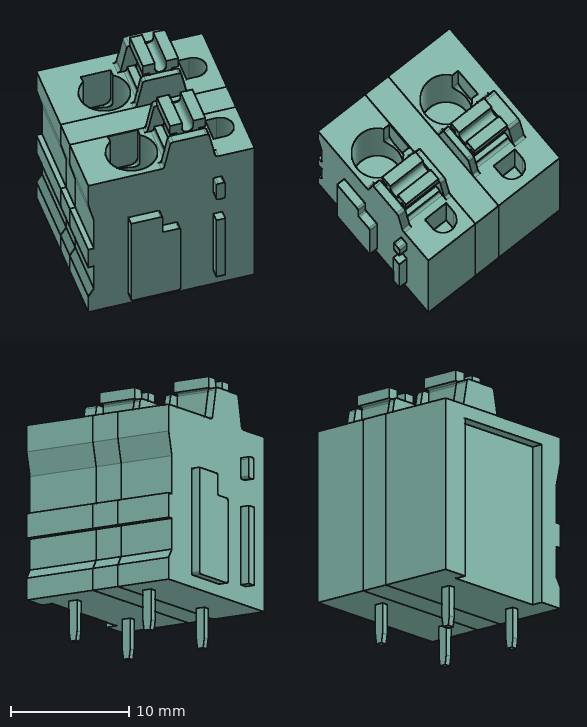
import cadquery as cq


pole_pitch = 7.5
pole_count = 2

block_width = 14.4
block_depth = 14.8
block_height = 15.2
left_housing_end = 6.73
right_housing_start = 9.26

relief_depth = 0.5
relief_slope_top_z = 12.9
relief_top_z = 10.85
rib_top_z = 7.52
rib_bottom_z = 5.38
relief_bottom_z = 2.7
relief_slope_bottom_z = 1.9

recess_depth = 1.05
recess_front_y = 2.4
recess_back_y = 12.3
recess_top_z = 14.0

button_slot_start = 2.32
button_slot_width = 3.8
flank_thickness = 1.2
flank_center_y = 9.03
flank_height = 2.91
flank_base_half_depth = 2.3
flank_top_half_depth = 1.7
flank_fillet = 0.3

collar_height = 0.46
collar_half_depth = 1.7
opening_depth_y = 2.15
opening_below_top = 2.0

button_center_x = button_slot_start + button_slot_width / 2
button_center_y = 9.12
button_width = 3.58
button_rise = 4.0
button_head_height = 1.0
button_head_depth_y = 3.15
button_stem_depth_y = 1.95
button_groove_width = 1.0
button_groove_depth = 1.12
button_neck_fillet = 0.15

wire_hole_x = button_center_x
wire_hole_y = 4.7
wire_hole_diameter = 4.4
wire_hole_depth = 8.0
wire_slot_start_x = 1.83
wire_slot_width_y = 2.64
wire_slot_depth = 4.0
wire_slot_fillet = 0.7

test_hole_x = 3.66
test_hole_front_y = 11.8
test_hole_radius = 1.16
test_hole_straight = 0.97
test_hole_depth = 5.0

pin_x = 3.2
pin_rows_y = (2.62, 10.82)
pin_width = 0.83
pin_tip_width = 0.6
pin_thickness = 0.62
pin_length = 3.5
pin_taper_length = 0.85

key_height = 0.8
key_fillet = 0.2
peg_front_y = 11.12
peg_back_y = 11.92
peg_bottom_z = 10.85
peg_top_z = 12.72
rail_height = 0.83
rail_bottom_z = 1.65
rail_top_z = 8.43
step_key_front_y = 3.55
step_key_riser_y = 6.37
step_key_back_y = 7.95
step_key_bottom_z = 1.06
step_key_foot_z = rail_top_z
step_key_top_z = 10.3
step_key_inner_fillet = 0.12

selection_margin = 0.01


def box(x_range, y_range, z_range):
    """Box spanning the given (start, end) ranges."""
    spans = [end - start for start, end in (x_range, y_range, z_range)]
    corner = (x_range[0], y_range[0], z_range[0])
    return cq.Workplane("XY").box(*spans, centered=False).translate(corner)


def side_profile(points, start_x, end_x):
    """Extrude a closed (Y, Z) outline along X."""
    outline = cq.Workplane("YZ", origin=(start_x, 0, 0)).polyline(points).close()
    return outline.extrude(end_x - start_x)


def edges_at_corner_pair(center_y, half_span, z):
    """Selector for the edges at height z, no further than half_span from center_y."""
    reach_y = half_span + selection_margin
    return cq.selectors.BoxSelector(
        (0, center_y - reach_y, z - selection_margin),
        (block_width, center_y + reach_y, z + selection_margin),
    )


def block_segment(start_x, end_x):
    """Slice of the block with the relieved front face and its rib."""
    return side_profile(
        [
            (0, 0),
            (block_depth, 0),
            (block_depth, block_height),
            (0, block_height),
            (0, relief_slope_top_z),
            (relief_depth, relief_top_z),
            (relief_depth, rib_top_z),
            (0, rib_top_z),
            (0, rib_bottom_z),
            (relief_depth, rib_bottom_z),
            (relief_depth, relief_bottom_z),
            (0, relief_slope_bottom_z),
        ],
        start_x,
        end_x,
    )


def raised_profile(base_half, top_half, height, start_x, end_x):
    """Upstand on a thin foot plate, with fillets where it meets the foot."""
    foot_half = base_half + 2 * flank_fillet
    foot_z = block_height - flank_fillet
    top_z = block_height + height
    upstand = side_profile(
        [
            (flank_center_y - foot_half, foot_z),
            (flank_center_y + foot_half, foot_z),
            (flank_center_y + foot_half, block_height),
            (flank_center_y + base_half, block_height),
            (flank_center_y + top_half, top_z),
            (flank_center_y - top_half, top_z),
            (flank_center_y - base_half, block_height),
            (flank_center_y - foot_half, block_height),
        ],
        start_x,
        end_x,
    )
    foot_corners = edges_at_corner_pair(flank_center_y, base_half, block_height)
    return upstand.edges("|X").edges(foot_corners).fillet(flank_fillet)


def flank(start_x, end_x):
    """Tapered guard wall with rounded top edges."""
    wall = raised_profile(flank_base_half_depth, flank_top_half_depth, flank_height, start_x, end_x)
    return wall.faces(">Z").edges("|X").fillet(flank_fillet)


def button_opening(pole_x):
    """Blind opening that takes the stem of the push button."""
    start_x = pole_x + button_slot_start
    half_depth = opening_depth_y / 2
    return box(
        (start_x, start_x + button_slot_width),
        (button_center_y - half_depth, button_center_y + half_depth),
        (block_height - opening_below_top, block_height + collar_height),
    )


def wire_entry(pole_x):
    """Round wire hole joined with its side slot."""
    hole = (
        cq.Workplane("XY", origin=(pole_x + wire_hole_x, wire_hole_y, block_height))
        .circle(wire_hole_diameter / 2)
        .extrude(-wire_hole_depth)
    )
    slot = box(
        (pole_x + wire_slot_start_x, pole_x + wire_hole_x),
        (wire_hole_y - wire_slot_width_y / 2, wire_hole_y + wire_slot_width_y / 2),
        (block_height - wire_slot_depth, block_height),
    )
    return hole.union(slot.faces("<Z").edges("|X").fillet(wire_slot_fillet))


def test_opening(pole_x):
    """D-shaped opening with its round side towards the back."""
    return (
        cq.Workplane("XY", origin=(pole_x + test_hole_x, test_hole_front_y, block_height))
        .moveTo(-test_hole_radius, 0)
        .lineTo(test_hole_radius, 0)
        .lineTo(test_hole_radius, test_hole_straight)
        .threePointArc(
            (0, test_hole_straight + test_hole_radius),
            (-test_hole_radius, test_hole_straight),
        )
        .close()
        .extrude(-test_hole_depth)
    )


def pole_housing(pole_x, start_x, end_x):
    """Housing of one pole; the flanks are cut short at the housing ends."""
    slot_start = pole_x + button_slot_start
    slot_end = slot_start + button_slot_width
    flank_start = max(start_x, slot_start - flank_thickness)
    flank_end = min(end_x, slot_end + flank_thickness)
    return (
        block_segment(start_x, end_x)
        .union(flank(flank_start, slot_start))
        .union(flank(slot_end, flank_end))
        .union(raised_profile(collar_half_depth, collar_half_depth, collar_height, slot_start, slot_end))
        .cut(button_opening(pole_x))
        .cut(wire_entry(pole_x))
        .cut(test_opening(pole_x))
    )


def end_recess():
    """Recess in the left end face, open at the underside."""
    return box((0, recess_depth), (recess_front_y, recess_back_y), (0, recess_top_z))


def coding_keys():
    """Rounded peg, vertical rail and stepped key on the right end face."""
    key_span = (block_width, block_width + key_height)
    peg = box(key_span, (peg_front_y, peg_back_y), (peg_bottom_z, peg_top_z))
    peg = peg.edges("|X").fillet(key_fillet)
    rail = box(
        (block_width, block_width + rail_height),
        (peg_front_y, peg_back_y),
        (rail_bottom_z, rail_top_z),
    )
    step_key = side_profile(
        [
            (step_key_front_y, step_key_bottom_z),
            (step_key_back_y, step_key_bottom_z),
            (step_key_back_y, step_key_foot_z),
            (step_key_riser_y, step_key_foot_z),
            (step_key_riser_y, step_key_top_z),
            (step_key_front_y, step_key_top_z),
        ],
        *key_span,
    )
    step_key = step_key.faces("<Z or >Y").edges("|X").fillet(key_fillet)
    step_key = step_key.faces(">Z").edges("|X and >Y").fillet(key_fillet)
    inner_corner = cq.selectors.NearestToPointSelector(
        (block_width + key_height / 2, step_key_riser_y, step_key_foot_z)
    )
    step_key = step_key.edges("|X").edges(inner_corner).fillet(step_key_inner_fillet)
    return [peg, rail, step_key]


def push_button(pole_x):
    """T-shaped push button with a round-bottomed groove across its head."""
    start_x = pole_x + button_center_x - button_width / 2
    x_range = (start_x, start_x + button_width)
    top_z = block_height + button_rise
    head_bottom_z = top_z - button_head_height
    stem_bottom_z = block_height - opening_below_top
    stem_half = button_stem_depth_y / 2
    head_half = button_head_depth_y / 2
    stem = box(
        x_range,
        (button_center_y - stem_half, button_center_y + stem_half),
        (stem_bottom_z, head_bottom_z),
    )
    head = box(
        x_range,
        (button_center_y - head_half, button_center_y + head_half),
        (head_bottom_z, top_z),
    )
    neck_corners = edges_at_corner_pair(button_center_y, stem_half, head_bottom_z)
    groove_half = button_groove_width / 2
    groove_center_z = top_z - button_groove_depth + groove_half
    groove = box(
        x_range,
        (button_center_y - groove_half, button_center_y + groove_half),
        (groove_center_z, top_z),
    )
    groove_bottom = (
        cq.Workplane("YZ", origin=(start_x, button_center_y, groove_center_z))
        .circle(groove_half)
        .extrude(button_width)
    )
    button = stem.union(head).edges("|X").edges(neck_corners).fillet(button_neck_fillet)
    return button.cut(groove).cut(groove_bottom)


def solder_pin(center_x, center_y):
    """Flat pin below the block, tapered in width towards its tip."""
    half_width = pin_width / 2
    half_tip = pin_tip_width / 2
    taper_z = pin_taper_length - pin_length
    return (
        cq.Workplane("XZ", origin=(center_x, center_y, 0))
        .polyline(
            [
                (-half_width, 0),
                (half_width, 0),
                (half_width, taper_z),
                (half_tip, -pin_length),
                (-half_tip, -pin_length),
                (-half_width, taper_z),
            ]
        )
        .close()
        .extrude(pin_thickness / 2, both=True)
    )


pole_positions = [index * pole_pitch for index in range(pole_count)]

left_housing = pole_housing(pole_positions[0], 0, left_housing_end).cut(end_recess())

spacer = block_segment(left_housing_end, right_housing_start)

right_housing = pole_housing(pole_positions[1], right_housing_start, block_width)
for key in coding_keys():
    right_housing = right_housing.union(key)

buttons = [push_button(pole_x) for pole_x in pole_positions]

pins = []
for pole_x in pole_positions:
    for row_y in pin_rows_y:
        pins.append(solder_pin(pole_x + pin_x, row_y))

bodies = [left_housing, spacer, right_housing, *buttons, *pins]
result = cq.Compound.makeCompound([body.solids().val() for body in bodies])